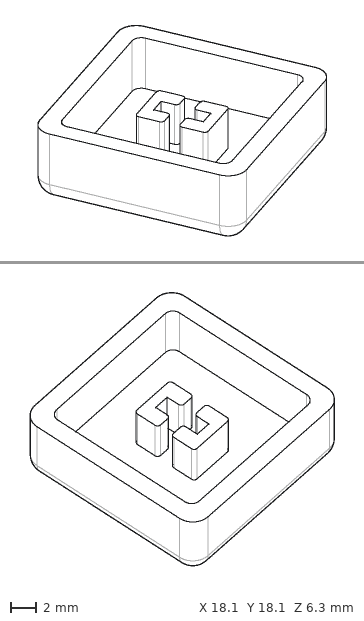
import cadquery as cq

side = 18.05
height = 6.3
corner_radius = 1.6
bottom_radius = corner_radius
wall = 1.6
pocket_corner_radius = 0.8
floor_thickness = 1.6

stem_length = 6.25
stem_width = 4.33
stem_height = 3.68
stem_gap = 1.35
cross_slot_length = 4.33
cross_slot_width = 1.4
stem_corner_radius = 0.3


def make_shell():
    """Square tray with rounded upright edges and a rounded bottom rim."""
    body = cq.Workplane("XY").box(side, side, height, centered=(True, True, False))
    body = body.edges("|Z").fillet(corner_radius)
    body = body.faces("<Z").edges().fillet(bottom_radius)
    pocket_side = side - 2 * wall
    pocket = (
        cq.Workplane("XY", origin=(0, 0, floor_thickness))
        .rect(pocket_side, pocket_side)
        .extrude(height - floor_thickness)
        .edges("|Z")
        .fillet(pocket_corner_radius)
    )
    return body.cut(pocket)


def make_stem_half(direction):
    """One C-shaped post; direction is +1 for the +X half and -1 for the -X half."""
    post_length = (stem_length - stem_gap) / 2
    post_center = direction * (stem_length + stem_gap) / 4
    plane = cq.Workplane("XY", origin=(0, 0, floor_thickness))
    post = plane.center(post_center, 0).rect(post_length, stem_width).extrude(stem_height)
    slot = plane.rect(cross_slot_length, cross_slot_width).extrude(stem_height)
    post = post.cut(slot)
    outer_edges = post.edges("|Z and (<X or >X)")
    return outer_edges.fillet(stem_corner_radius)


result = make_shell()
for direction in (-1, 1):
    result = result.union(make_stem_half(direction))